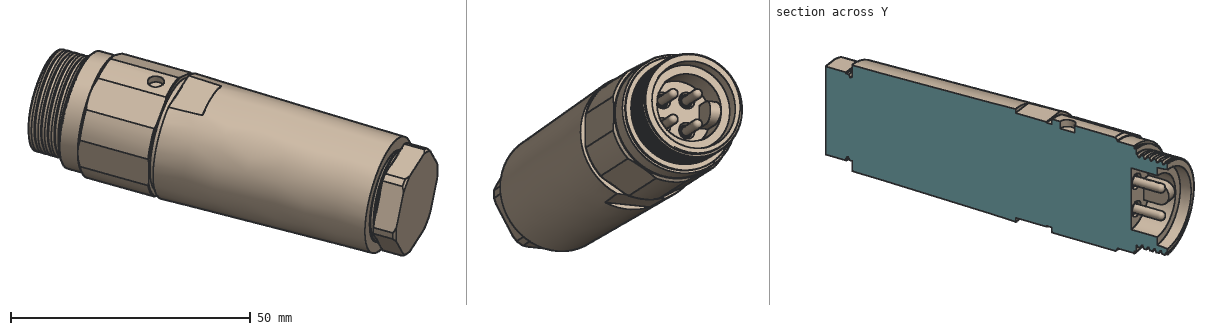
import cadquery as cq
import math


LENGTH = 83.7
COLLAR_START = 7.6
NUT_START = 12.2
NUT_END = 28.4
HOUSING_START = 29.6
HOUSING_END = 77.25
GLAND_START = 78.7

THREAD_DIAMETER = 22.1
THREAD_PITCH = 1.5
THREAD_DEPTH = 0.7
GROOVE_ROOT_WIDTH = 0.2
GROOVE_MOUTH_WIDTH = 0.9
GROOVE_OVERSHOOT = 0.1
GROOVE_START = -1.25
THREAD_LEAD_CHAMFER = 0.25

COLLAR_DIAMETER = 25.5
COLLAR_STEP_DIAMETER = 24.4
COLLAR_STEP_LENGTH = 0.5

NUT_DIAMETER = 27.0
NUT_ACROSS_FLATS = 26.0
NUT_FRONT_CHAMFER = 0.6
NUT_BACK_CHAMFER = 0.2
NUT_HOLE_DIAMETER = 3.4
NUT_HOLE_DEPTH = 1.7
NUT_HOLE_X = 24.5

NECK_DIAMETER = 24.6

HOUSING_FRONT_DIAMETER = 27.2
HOUSING_BACK_DIAMETER = 25.3
WRENCH_FLAT_LENGTH = 7.5
WRENCH_FLAT_SPACING = 24.95

GLAND_DIAMETER = 23.35
GLAND_ACROSS_FLATS = 21.0
GLAND_CHAMFER = 0.5
GLAND_THREAD_DIAMETER = 20.4
GLAND_GROOVE_START = 75.3

MOUTH_FRONT_DIAMETER = 18.75
MOUTH_BACK_DIAMETER = 18.25
MOUTH_DEPTH = 2.5
SOCKET_DIAMETER = 14.5
SOCKET_DEPTH = 8.9

PIN_DIAMETER = 2.0
PIN_TIP_X = 2.0
PIN_RECESS_FRONT_DIAMETER = 3.5
PIN_RECESS_BACK_DIAMETER = 2.7
PIN_RECESS_DEPTH = 0.5
PIN_ROWS = [(3.4, 2.8), (-2.0, 3.3)]

KEY_WIDTH = 4.9
KEY_INNER_Y = 4.85
KEY_TIP_X = 2.7

OVERLAP = 0.4


def rod(start, end, diameter, y=0, z=0):
    """Round bar along X."""
    return cq.Workplane("YZ", origin=(start, y, z)).circle(diameter / 2).extrude(end - start)


def cone(start, end, start_diameter, end_diameter, y=0, z=0):
    """Tapered round bar along X."""
    profile = [(start, 0), (start, start_diameter / 2), (end, end_diameter / 2), (end, 0)]
    bar = cq.Workplane("XY").polyline(profile).close().revolve(360, (0, 0, 0), (1, 0, 0))
    return bar.translate((0, y, z))


def hexagonal(body, start, end, across_flats, first_flat_angle):
    """Trim a round body to six flats; the first flat faces the given angle from +Y."""
    prism = (
        cq.Workplane("YZ", origin=(start, 0, 0))
        .polygon(6, across_flats, circumscribed=True)
        .extrude(end - start)
        .rotate((0, 0, 0), (1, 0, 0), first_flat_angle)
    )
    return body.intersect(prism)


def thread_groove(length, diameter):
    """Right-handed V groove about Z, bounded by ruled faces between helices."""
    root_radius = diameter / 2 - THREAD_DEPTH
    mouth_radius = diameter / 2 + GROOVE_OVERSHOOT
    section = [
        (root_radius, -GROOVE_ROOT_WIDTH / 2),
        (mouth_radius, -GROOVE_MOUTH_WIDTH / 2),
        (mouth_radius, GROOVE_MOUTH_WIDTH / 2),
        (root_radius, GROOVE_ROOT_WIDTH / 2),
    ]
    helices = [
        cq.Wire.makeHelix(THREAD_PITCH, length, radius, center=cq.Vector(0, 0, offset))
        for radius, offset in section
    ]
    faces = []
    for index, helix in enumerate(helices):
        faces.append(cq.Face.makeRuledSurface(helix, helices[(index + 1) % len(helices)]))
    for height in (0, length):
        angle = 2 * math.pi * height / THREAD_PITCH
        corners = [
            cq.Vector(radius * math.cos(angle), radius * math.sin(angle), height + offset)
            for radius, offset in section
        ]
        faces.append(cq.Face.makeFromWires(cq.Wire.makePolygon(corners, close=True)))
    return cq.Workplane(cq.Solid.makeSolid(cq.Shell.makeShell(faces)))


def threaded_rod(start, end, diameter, groove_start):
    """Round bar along X with a thread groove that runs out at both end faces."""
    groove_length = end - groove_start + THREAD_PITCH
    groove = thread_groove(groove_length, diameter)
    groove = groove.rotate((0, 0, 0), (0, 1, 0), 90).translate((groove_start, 0, 0))
    groove = groove.intersect(rod(start, end, 2 * diameter))
    return rod(start, end, diameter).cut(groove)


def make_collar():
    step_end = COLLAR_START + COLLAR_STEP_LENGTH
    step = rod(COLLAR_START, step_end, COLLAR_STEP_DIAMETER)
    return step.union(rod(step_end, NUT_START + OVERLAP, COLLAR_DIAMETER))


def make_coupling_nut():
    nut = rod(NUT_START, NUT_END, NUT_DIAMETER)
    nut = nut.faces("<X").chamfer(NUT_FRONT_CHAMFER).faces(">X").chamfer(NUT_BACK_CHAMFER)
    nut = hexagonal(nut, NUT_START, NUT_END, NUT_ACROSS_FLATS, 0)
    hole_floor = NUT_DIAMETER / 2 - NUT_HOLE_DEPTH
    hole = (
        cq.Workplane("XY", origin=(NUT_HOLE_X, 0, hole_floor))
        .circle(NUT_HOLE_DIAMETER / 2)
        .extrude(2 * NUT_HOLE_DEPTH)
    )
    return nut.cut(hole)


def make_housing():
    housing = cone(HOUSING_START, HOUSING_END, HOUSING_FRONT_DIAMETER, HOUSING_BACK_DIAMETER)
    for side in (1, -1):
        cutter = cq.Workplane("XY").box(
            WRENCH_FLAT_LENGTH, HOUSING_FRONT_DIAMETER, WRENCH_FLAT_SPACING, centered=(False, True, True)
        )
        housing = housing.cut(cutter.translate((HOUSING_START, 0, side * WRENCH_FLAT_SPACING)))
    return housing


def make_gland():
    nut = rod(GLAND_START, LENGTH, GLAND_DIAMETER).faces(">X").chamfer(GLAND_CHAMFER)
    nut = hexagonal(nut, GLAND_START, LENGTH, GLAND_ACROSS_FLATS, 90)
    return nut.union(threaded_rod(HOUSING_END, GLAND_START, GLAND_THREAD_DIAMETER, GLAND_GROOVE_START))


def make_mating_thread():
    lead_end = THREAD_LEAD_CHAMFER
    lead = cone(0, lead_end, THREAD_DIAMETER - 2 * lead_end, THREAD_DIAMETER)
    envelope = lead.union(rod(lead_end, COLLAR_START, THREAD_DIAMETER))
    return threaded_rod(0, COLLAR_START, THREAD_DIAMETER, GROOVE_START).intersect(envelope)


def make_pin_recess(y, z):
    """Tapered ring sunk into the socket floor around a pin."""
    recess_floor = SOCKET_DEPTH + PIN_RECESS_DEPTH
    return cone(SOCKET_DEPTH, recess_floor, PIN_RECESS_FRONT_DIAMETER, PIN_RECESS_BACK_DIAMETER, y, z)


def make_pin(y, z):
    pin = rod(PIN_TIP_X, SOCKET_DEPTH + PIN_RECESS_DEPTH + OVERLAP, PIN_DIAMETER, y, z)
    return pin.faces("<X").fillet(0.45 * PIN_DIAMETER)


def make_key():
    """Round-ended rib reaching inwards from the -Y wall of the socket."""
    wall_y = SOCKET_DIAMETER / 2 + OVERLAP
    nose_x = KEY_TIP_X + KEY_WIDTH / 2
    back_x = SOCKET_DEPTH + OVERLAP
    key = (
        cq.Workplane("XZ", origin=(0, -KEY_INNER_Y, 0))
        .moveTo(back_x, KEY_WIDTH / 2)
        .lineTo(nose_x, KEY_WIDTH / 2)
        .threePointArc((KEY_TIP_X, 0), (nose_x, -KEY_WIDTH / 2))
        .lineTo(back_x, -KEY_WIDTH / 2)
        .close()
        .extrude(wall_y - KEY_INNER_Y)
    )
    return key


result = (
    make_mating_thread()
    .union(make_collar())
    .union(make_coupling_nut())
    .union(rod(NUT_END - OVERLAP, HOUSING_START + OVERLAP, NECK_DIAMETER))
    .union(make_housing())
    .union(make_gland())
    .cut(cone(0, MOUTH_DEPTH, MOUTH_FRONT_DIAMETER, MOUTH_BACK_DIAMETER))
    .cut(rod(0, SOCKET_DEPTH, SOCKET_DIAMETER))
    .union(make_key())
)
for row_y, row_z in PIN_ROWS:
    for pin_z in (row_z, -row_z):
        result = result.cut(make_pin_recess(row_y, pin_z)).union(make_pin(row_y, pin_z))